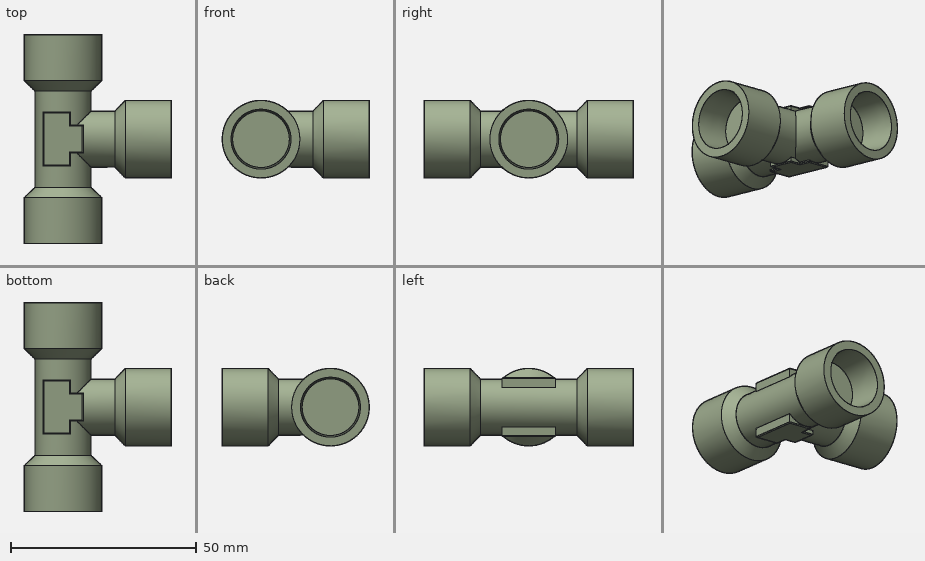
import cadquery as cq

run_half_length = 28.2
branch_length = 29.2

socket_diameter = 21.0
socket_length = 12.4
neck_diameter = 15.15
cone_base_diameter = 15.3
cone_length = 2.75

bore_mouth_diameter = 16.2
bore_floor_diameter = 15.3
bore_depth = 10.15

pad_height = 7.95
pad_left = -5.4
pad_bar_right = 2.05
pad_tab_right = 5.45
pad_half_width = 7.3
tab_half_width = 3.8
pad_chamfer = 0.3


def arm_planes():
    """Yield each arm's plane, with its normal along the arm, and its length."""
    for y_direction in (1, -1):
        yield cq.Plane(origin=(0, 0, 0), xDir=(1, 0, 0), normal=(0, y_direction, 0)), run_half_length
    yield cq.Plane(origin=(0, 0, 0), xDir=(0, 1, 0), normal=(1, 0, 0)), branch_length


def arm(plane, length):
    """Solid neck, then a cone from a slight step up to the socket."""
    socket_start = length - socket_length
    neck_end = socket_start - cone_length
    neck = cq.Workplane(plane).circle(neck_diameter / 2).extrude(neck_end)
    cone = (
        cq.Workplane(plane)
        .workplane(offset=neck_end)
        .circle(cone_base_diameter / 2)
        .workplane(offset=cone_length)
        .circle(socket_diameter / 2)
        .loft()
    )
    socket = (
        cq.Workplane(plane)
        .workplane(offset=socket_start)
        .circle(socket_diameter / 2)
        .extrude(socket_length)
    )
    return neck.union(cone).union(socket)


def bore(plane, length):
    """Cutter for the bore, narrowing from the mouth to a flat floor."""
    return (
        cq.Workplane(plane)
        .workplane(offset=length - bore_depth)
        .circle(bore_floor_diameter / 2)
        .workplane(offset=bore_depth)
        .circle(bore_mouth_diameter / 2)
        .loft()
    )


def pads():
    """T-shaped block through the middle, forming both pads, with chamfered outer faces."""
    outline = [
        (pad_left, -pad_half_width),
        (pad_bar_right, -pad_half_width),
        (pad_bar_right, -tab_half_width),
        (pad_tab_right, -tab_half_width),
        (pad_tab_right, tab_half_width),
        (pad_bar_right, tab_half_width),
        (pad_bar_right, pad_half_width),
        (pad_left, pad_half_width),
    ]
    block = cq.Workplane("XY").polyline(outline).close().extrude(pad_height, both=True)
    return block.faces("|Z").chamfer(pad_chamfer)


result = pads()
for arm_plane, arm_length in arm_planes():
    result = result.union(arm(arm_plane, arm_length))
for arm_plane, arm_length in arm_planes():
    result = result.cut(bore(arm_plane, arm_length))